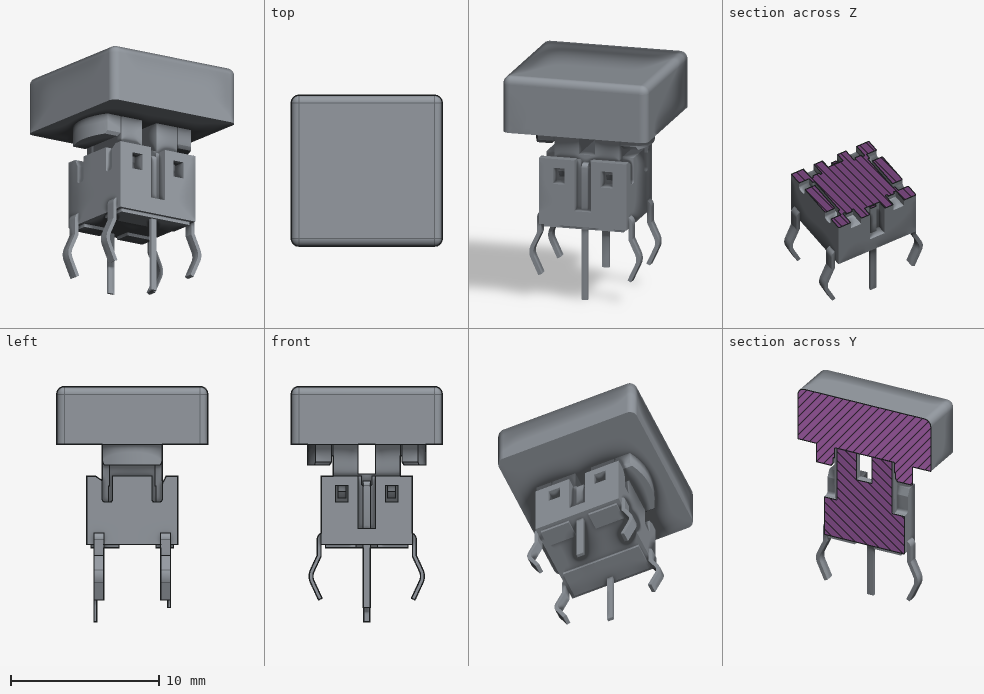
import cadquery as cq
import math


OVERALL_HEIGHT = 15.9

CAP_SIDE = 10.2
CAP_BOTTOM = 6.77
CAP_TOP = 10.68
CAP_ROUNDING = 0.52

WING_RADIUS = 4.0
WING_BOTTOM = 5.37
WING_INNER_X = 2.37
WING_CHAMFER_HEIGHT = 0.22
WING_CHAMFER_WIDTH = 0.16
WEB_BOTTOM = 6.0
WEB_HALF_Y = 1.91

PLUNGER_HALF_X = 2.27
PLUNGER_HALF_Y = 2.04
PLUNGER_GAP = 1.16
CROSSBAR_TOP = 4.79
RECESS_DEPTH = 0.16
RECESS_UPPER_WIDTH = 3.05
RECESS_LOWER_WIDTH = 3.21
RECESS_STEP_Z = 3.96

HOUSING_SIDE = 6.15
HOUSING_HEIGHT = 4.63
HOUSING_HALF = HOUSING_SIDE / 2
SLOT_WIDTH = 0.72
SLOT_BOTTOM = 2.88
SLOT_CORNER_RADIUS = 0.22
FRONT_BEVEL = (0.25, 0.51)
BACK_BEVEL = (0.45, 0.29)
CHANNEL_BACK_Y = 2.37
CHANNEL_FLOOR = 1.08
NOTCH_WIDTH = 0.68
NOTCH_FLOOR = 3.98
NOTCH_CHAMFER = 0.08

WINDOW_X = 1.69
WINDOW_WIDTH = 0.83
WINDOW_BOTTOM = 2.88
WINDOW_TOP = 4.0
HOOK_X = 1.67
HOOK_WIDTH = 0.54
HOOK_BOTTOM = 3.15
HOOK_EDGE = 3.6
HOOK_REACH = 0.25

FOOT_HEIGHT = 0.22
FOOT_OUTER = 2.8
FRONT_FOOT_INNER_X = 0.73
FRONT_FOOT_INNER_Y = 1.59
BACK_FOOT_INNER_Y = 0.89

CLIP_THICKNESS = 0.27
CLIP_WIDTH = 0.68
CLIP_CENTRE_Y = 2.25
CLIP_TOP = 0.81
CLIP_TOP_RADIUS = 0.45
CLIP_KNEE_Z = -0.72
CLIP_ELBOW_Z = -2.13
CLIP_TIP_Z = -3.74
CLIP_ANGLE = math.radians(25)
CLIP_ELBOW_RADIUS = 0.76

PIN_OUTER_Y = CLIP_CENTRE_Y + CLIP_WIDTH / 2
PIN_THICKNESS = 0.2
PIN_TOP = 4.31
PIN_BEND_RADIUS = 0.3
FRONT_PIN_WIDTH = 0.5
FRONT_PIN_TIP = -4.25
BACK_PIN_WIDTH = 0.41
BACK_PIN_TIP = CAP_TOP - OVERALL_HEIGHT


def block(x0, x1, y0, y1, z0, z1):
    """Box between opposite corners."""
    return cq.Workplane("XY").box(x1 - x0, y1 - y0, z1 - z0, centered=False).translate((x0, y0, z0))


def centred_block(width_x, width_y, z0, z1):
    """Box centred on the Z axis."""
    return block(-width_x / 2, width_x / 2, -width_y / 2, width_y / 2, z0, z1)


def extrude_x(points, width, centre_x=0.0):
    """Y-Z outline extruded along X, centred on centre_x."""
    outline = cq.Workplane("YZ", origin=(centre_x, 0, 0)).polyline(points).close()
    return outline.extrude(width / 2, both=True)


def extrude_y(points, width, centre_y=0.0):
    """X-Z outline extruded along Y, centred on centre_y."""
    outline = cq.Workplane("XZ", origin=(0, centre_y, 0)).polyline(points).close()
    return outline.extrude(width / 2, both=True)




def make_wing():
    """Wing on the -X side: flat sides, round outer face, bevelled lower edges."""
    wing = block(-CAP_SIDE / 2, -WING_INNER_X, -PLUNGER_HALF_Y, PLUNGER_HALF_Y, WING_BOTTOM, CAP_BOTTOM)
    bevelled_edges = wing.edges("<Z").edges("not <X")
    wing = bevelled_edges.chamfer(WING_CHAMFER_HEIGHT, WING_CHAMFER_WIDTH)
    disc = cq.Workplane("XY").circle(WING_RADIUS).extrude(CAP_TOP)
    web = block(-WING_INNER_X, -PLUNGER_HALF_X, -WEB_HALF_Y, WEB_HALF_Y, WEB_BOTTOM, CAP_BOTTOM)
    return wing.intersect(disc).union(web)


def make_cap():
    cap = centred_block(CAP_SIDE, CAP_SIDE, CAP_BOTTOM, CAP_TOP)
    cap = cap.edges("|Z").fillet(CAP_ROUNDING).faces(">Z").edges().fillet(CAP_ROUNDING)
    wing = make_wing()
    return cap.union(wing).union(wing.mirror("YZ"))




def make_plunger():
    """Two posts above a crossbar, each with a shallow recess in its outer face."""
    width_x = 2 * PLUNGER_HALF_X
    width_y = 2 * PLUNGER_HALF_Y
    plunger = centred_block(width_x, width_y, 0, CAP_BOTTOM)
    return plunger.cut(centred_block(PLUNGER_GAP, width_y, CROSSBAR_TOP, CAP_BOTTOM))


def make_recess():
    """Stepped recess in the -X face of the plunger."""
    bottom_x = -PLUNGER_HALF_X + RECESS_DEPTH
    upper = RECESS_UPPER_WIDTH / 2
    lower = RECESS_LOWER_WIDTH / 2
    recess = block(-PLUNGER_HALF_X, bottom_x, -upper, upper, RECESS_STEP_Z, CAP_BOTTOM)
    return recess.union(block(-PLUNGER_HALF_X, bottom_x, -lower, lower, SLOT_BOTTOM, RECESS_STEP_Z))


def make_slot():
    """Round-cornered slot through the -X wall, beside the +Y edge of the plunger."""
    inner_y = PLUNGER_HALF_Y - SLOT_WIDTH
    slot = block(-HOUSING_HALF, -PLUNGER_HALF_X, inner_y, PLUNGER_HALF_Y, SLOT_BOTTOM, HOUSING_HEIGHT)
    return slot.edges("|X and <Z").fillet(SLOT_CORNER_RADIUS)


def make_bevel(side, width, depth):
    """Sloping cut along the top of the housing, next to the plunger (side is -1 or 1 along Y)."""
    inner_y = side * PLUNGER_HALF_Y
    outer_y = side * (PLUNGER_HALF_Y + width)
    points = [(inner_y, HOUSING_HEIGHT), (outer_y, HOUSING_HEIGHT), (inner_y, HOUSING_HEIGHT - depth)]
    return extrude_x(points, HOUSING_SIDE)


def make_front_cuts():
    """Pin channel, notch and latch windows in the -Y wall."""
    half_gap = PLUNGER_GAP / 2
    cuts = block(-half_gap, half_gap, -HOUSING_HALF, -CHANNEL_BACK_Y, CHANNEL_FLOOR, HOUSING_HEIGHT)
    half_notch = NOTCH_WIDTH / 2
    notch = block(-half_notch, half_notch, -CHANNEL_BACK_Y, -PLUNGER_HALF_Y, NOTCH_FLOOR, HOUSING_HEIGHT)
    cuts = cuts.union(notch.edges("|Y and <Z").chamfer(NOTCH_CHAMFER))
    half_window = WINDOW_WIDTH / 2
    for x in (-WINDOW_X, WINDOW_X):
        window = block(
            x - half_window, x + half_window, -HOUSING_HALF, -PLUNGER_HALF_Y, WINDOW_BOTTOM, WINDOW_TOP
        )
        cuts = cuts.union(window)
    return cuts


def make_hook(x):
    """Latch hook on the -Y face of the plunger, with a sloping underside."""
    tip_y = -PLUNGER_HALF_Y - HOOK_REACH
    points = [
        (-PLUNGER_HALF_Y, HOOK_BOTTOM),
        (tip_y, HOOK_EDGE),
        (tip_y, WINDOW_TOP),
        (-PLUNGER_HALF_Y, WINDOW_TOP),
    ]
    return extrude_x(points, HOOK_WIDTH, x)


def make_feet():
    """Two front pads and one back pad, standing below the housing."""
    back = block(-FOOT_OUTER, FOOT_OUTER, BACK_FOOT_INNER_Y, FOOT_OUTER, -FOOT_HEIGHT, 0)
    front = block(
        -FOOT_OUTER, -FRONT_FOOT_INNER_X, -FOOT_OUTER, -FRONT_FOOT_INNER_Y, -FOOT_HEIGHT, 0
    )
    return back.union(front).union(front.mirror("YZ"))


def make_pin(width, tip_z):
    """Flat pin on the -Y side, with its top bent inwards to the plunger."""
    inner_y = -PIN_OUTER_Y + PIN_THICKNESS
    points = [
        (-PIN_OUTER_Y, tip_z),
        (-PIN_OUTER_Y, PIN_TOP),
        (-PLUNGER_HALF_Y, PIN_TOP),
        (-PLUNGER_HALF_Y, PIN_TOP - PIN_THICKNESS),
        (inner_y, PIN_TOP - PIN_THICKNESS),
        (inner_y, tip_z),
    ]
    return extrude_x(points, width).edges("|X and >Z and <Y").fillet(PIN_BEND_RADIUS)


def make_clip(centre_y):
    """Clip on the -X side: down from the housing, out at the knee, back in at the elbow."""
    inner_x = -HOUSING_HALF
    outer_x = inner_x - CLIP_THICKNESS
    slope = math.tan(CLIP_ANGLE)
    elbow_x = outer_x - (CLIP_KNEE_Z - CLIP_ELBOW_Z) * slope
    elbow_inner_x = elbow_x + CLIP_THICKNESS / math.cos(CLIP_ANGLE)
    inner_knee_z = CLIP_KNEE_Z - CLIP_THICKNESS * math.tan(CLIP_ANGLE / 2)
    tip_x = elbow_x + (CLIP_ELBOW_Z - CLIP_TIP_Z) * slope
    tip_inner_x = tip_x + CLIP_THICKNESS * math.cos(CLIP_ANGLE)
    tip_inner_z = CLIP_TIP_Z + CLIP_THICKNESS * math.sin(CLIP_ANGLE)
    root_x = inner_x + CLIP_THICKNESS
    points = [
        (root_x, CLIP_TOP),
        (outer_x, CLIP_TOP),
        (outer_x, CLIP_KNEE_Z),
        (elbow_x, CLIP_ELBOW_Z),
        (tip_x, CLIP_TIP_Z),
        (tip_inner_x, tip_inner_z),
        (elbow_inner_x, CLIP_ELBOW_Z),
        (inner_x, inner_knee_z),
        (inner_x, 0),
        (root_x, 0),
    ]
    clip = extrude_y(points, CLIP_WIDTH, centre_y)
    outer_bend = cq.selectors.NearestToPointSelector((outer_x, centre_y, CLIP_TOP))
    outer_elbow = cq.selectors.NearestToPointSelector((elbow_x, centre_y, CLIP_ELBOW_Z))
    inner_elbow = cq.selectors.NearestToPointSelector((elbow_inner_x, centre_y, CLIP_ELBOW_Z))
    clip = clip.edges("|Y").edges(outer_bend).fillet(CLIP_TOP_RADIUS)
    clip = clip.edges("|Y").edges(outer_elbow).fillet(CLIP_ELBOW_RADIUS + CLIP_THICKNESS)
    return clip.edges("|Y").edges(inner_elbow).fillet(CLIP_ELBOW_RADIUS)


def make_switch():
    """Housing, plunger, pins and clips as one body."""
    switch = centred_block(HOUSING_SIDE, HOUSING_SIDE, 0, HOUSING_HEIGHT)

    front_cuts = make_front_cuts()
    switch = switch.cut(front_cuts).cut(front_cuts.mirror("XZ"))
    switch = switch.cut(make_bevel(-1, *FRONT_BEVEL)).cut(make_bevel(1, *BACK_BEVEL))
    slot = make_slot()
    slots = slot.union(slot.mirror("XZ"))
    switch = switch.cut(slots).cut(slots.mirror("YZ"))

    recess = make_recess()
    switch = switch.union(make_plunger()).cut(recess).cut(recess.mirror("YZ"))
    for x in (-HOOK_X, HOOK_X):
        hook = make_hook(x)
        switch = switch.union(hook).union(hook.mirror("XZ"))

    switch = switch.union(make_feet())
    switch = switch.union(make_pin(FRONT_PIN_WIDTH, FRONT_PIN_TIP))
    switch = switch.union(make_pin(BACK_PIN_WIDTH, BACK_PIN_TIP).mirror("XZ"))
    for y in (-CLIP_CENTRE_Y, CLIP_CENTRE_Y):
        clip = make_clip(y)
        switch = switch.union(clip).union(clip.mirror("YZ"))
    return switch


cap = make_cap()
switch = make_switch()
result = cq.Compound.makeCompound([cap.solids().val(), switch.solids().val()])